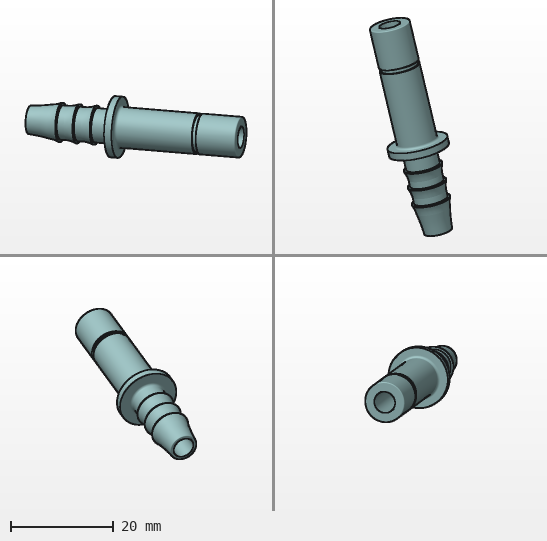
import cadquery as cq
import math

total_length = 43.0
bore_radius = 2.1

tip_radius = 2.8
tip_fillet = 0.15
neck_radius = 3.38
lead_length = 4.5
lead_sag = 0.07
barb_radius = 3.85
barb_flare_length = 1.9
barb_land = 0.12
barb_back = 0.1
barb_sag = 0.08
barb_pitch = 3.5
barb_count = 3

flange_start = 17.0
flange_thickness = 1.5
flange_radius = 6.0
flange_end = flange_start + flange_thickness
flange_root_fillet = 0.5

stem_radius = 4.0
stem_end_fillet = 0.2
groove_start = 34.2
groove_end = 35.0
groove_radius = 3.65


def hollow_arc(profile, start, end, sag):
    """Arc from start to end, bowed towards the axis by sag at mid-length."""
    length = math.hypot(end[0] - start[0], end[1] - start[1])
    middle = (
        (start[0] + end[0]) / 2 + sag * (end[1] - start[1]) / length,
        (start[1] + end[1]) / 2 - sag * (end[0] - start[0]) / length,
    )
    return profile.threePointArc(middle, end)


def add_barb(profile, start_x):
    """Hollow flare, narrow crest and steep back of one barb."""
    crest_x = start_x + barb_flare_length
    profile = hollow_arc(profile, (start_x, neck_radius), (crest_x, barb_radius), barb_sag)
    profile = profile.lineTo(crest_x + barb_land, barb_radius)
    return profile.lineTo(crest_x + barb_land + barb_back, neck_radius)


def fillet_corner(profile, start, centre, end):
    """Quarter round about centre, from start to end."""
    radius = abs(start[0] - centre[0]) + abs(start[1] - centre[1])
    diagonal = radius / math.sqrt(2)
    direction_x = math.copysign(1, start[0] + end[0] - 2 * centre[0])
    direction_y = math.copysign(1, start[1] + end[1] - 2 * centre[1])
    middle = (centre[0] + direction_x * diagonal, centre[1] + direction_y * diagonal)
    return profile.lineTo(*start).threePointArc(middle, end)


def fitting_profile():
    """Half section in the XY plane, radius measured along Y."""
    profile = cq.Workplane("XY").moveTo(0, bore_radius)

    tip_shoulder = tip_radius - tip_fillet
    nose_start = (tip_fillet, tip_radius)
    profile = fillet_corner(profile, (0, tip_shoulder), (tip_fillet, tip_shoulder), nose_start)
    profile = hollow_arc(profile, nose_start, (lead_length, neck_radius), lead_sag)

    for index in range(barb_count):
        start_x = lead_length + index * barb_pitch
        if index > 0:
            profile = profile.lineTo(start_x, neck_radius)
        profile = add_barb(profile, start_x)

    neck_fillet_x = flange_start - flange_root_fillet
    neck_fillet_top = neck_radius + flange_root_fillet
    profile = fillet_corner(
        profile,
        (neck_fillet_x, neck_radius),
        (neck_fillet_x, neck_fillet_top),
        (flange_start, neck_fillet_top),
    )
    profile = profile.lineTo(flange_start, flange_radius)
    profile = profile.lineTo(flange_end, flange_radius)
    stem_fillet_x = flange_end + flange_root_fillet
    stem_fillet_top = stem_radius + flange_root_fillet
    profile = fillet_corner(
        profile,
        (flange_end, stem_fillet_top),
        (stem_fillet_x, stem_fillet_top),
        (stem_fillet_x, stem_radius),
    )

    profile = profile.lineTo(groove_start, stem_radius)
    profile = profile.lineTo(groove_start, groove_radius)
    profile = profile.lineTo(groove_end, groove_radius)
    profile = profile.lineTo(groove_end, stem_radius)
    end_fillet_x = total_length - stem_end_fillet
    end_shoulder = stem_radius - stem_end_fillet
    profile = fillet_corner(
        profile,
        (end_fillet_x, stem_radius),
        (end_fillet_x, end_shoulder),
        (total_length, end_shoulder),
    )
    return profile.lineTo(total_length, bore_radius).close()


result = fitting_profile().revolve(360, (0, 0, 0), (1, 0, 0))